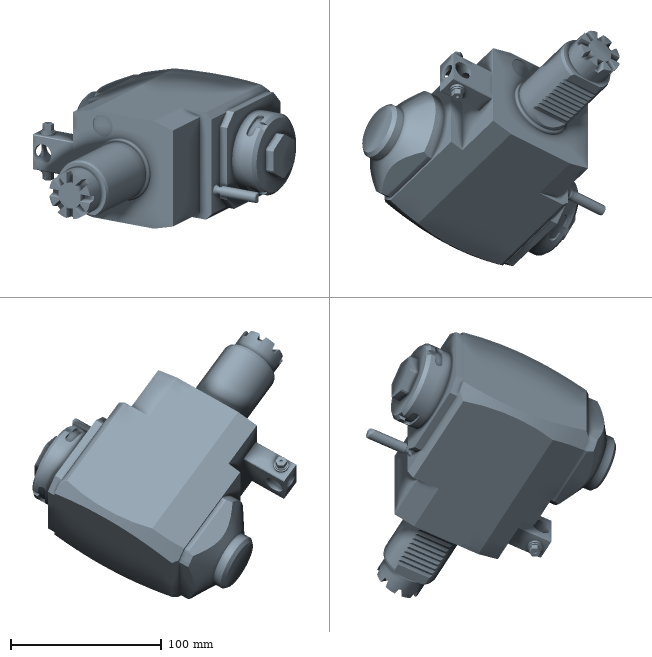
import cadquery as cq
import math


clearance = 1.8

block_depth = 114.0
half_height = 37.5
lower_half_width = 39.0
ridge_x = 24.2
side_slope = math.tan(math.radians(15))
shoulder_y = 34.8
upper_left = -48.2
upper_right = 47.7
right_chamfer = 4.4
left_chamfer = 3.3
crown_radius = 132.9
crown_x = 9.5
crown_back = 110.0
plug_x, plug_z, plug_radius, plug_recess = -15.8, 27.7, 7.6, 0.7

spindle_y = 79.9
cap_radius = 37.3
cap_cone_x = -55.5
cap_neck_x = -68.2
cap_half_height = 29.3
cap_slope_x = -51.5
cap_back = 30.2
cap_chamfer = 7.0
cap_end = -76.5
cap_boss_radius = 19.3
cap_boss_chamfer = 2.4

flange_side, flange_chamfer, flange_end = 67.7, 8.7, 53.1
nut_radius, nut_chamfer, nut_end = 27.7, 2.4, 70.8
nut_slot_count, nut_first_slot, nut_slot_sweep = 3, 30.0, 30.0
nut_slot_x, nut_slot_width, nut_slot_depth = 62.5, 5.6, 2.2
nut_key_width = 5.3
hex_flats, hex_corner_radius, hex_end = 27.0, 15.1, 76.8

pin_y, pin_z, pin_radius = 40.5, -17.7, 3.6
pin_foot_length, pin_neck_radius, pin_neck_end = 2.2, 2.5, 52.5
pin_end, pin_edge, pin_bevel = 80.5, 0.5, 3.0

collar_radius, collar_length, collar_round = 21.5, 2.2, 1.6
shank_radius, shank_end = 19.8, 52.8
shank_lead, shank_lead_length = 0.7, 2.2
shank_groove_radius, shank_groove_end = 19.3, 3.6
rack_depth = 15.0
rack_start = 9.8
tooth_count, tooth_pitch, tooth_height = 9, 4.0, 1.1
neck_radius, neck_end = 12.7, 54.0
collet_radius, collet_end = 16.0, 68.0
collet_hub_radius = 8.7
slot_count, slot_depth, slot_floor, slot_mouth = 8, 4.7, 3.1, 5.1

bracket_end, bracket_front, bracket_back, bracket_half_height = -70.8, 0.7, 16.2, 12.2
bracket_edge = 0.5
bore_x, bore_y, bore_radius = -63.0, 7.5, 6.5
side_bore_radius, side_bore_depth = 4.7, 23.7
side_socket, side_socket_depth = 2.5, 1.8
washer_radius, washer_height = 5.0, 1.6
seat_radius, seat_height = 4.2, 1.1
screw_flats, screw_top = 6.5, 19.3
screw_socket, screw_socket_depth = 2.2, 1.5


def box(x0, x1, y0, y1, z0, z1):
    return cq.Workplane("XY").box(x1 - x0, y1 - y0, z1 - z0, centered=False).translate((x0, y0, z0))


def turned_x(points, y, z):
    """Revolve (x, radius) points about the line parallel to X through (y, z)."""
    return (
        cq.Workplane("XY").polyline(points).close()
        .revolve(360, (0, 0, 0), (1, 0, 0)).translate((0, y, z))
    )


def turned_shank(points):
    """Revolve (distance in front of the block, radius) points about the Y axis."""
    outline = [(radius, -distance) for distance, radius in points]
    return cq.Workplane("XY").polyline(outline).close().revolve(360, (0, 0, 0), (0, 1, 0))


def rod_x(x0, x1, radius):
    return cq.Workplane("YZ", origin=(x0, spindle_y, 0)).circle(radius).extrude(x1 - x0)


def sloped_height(x):
    """Half height of the block at a given X on its sloped sides."""
    return half_height - (abs(x) - ridge_x) * side_slope


def mirrored_profile(upper, y0, y1):
    """Extrude along Y a section in XZ that is symmetric about Z = 0."""
    lower = [(x, -z) for x, z in reversed(upper)]
    return (
        cq.Workplane("XZ", origin=(0, y1, 0)).polyline(upper + lower).close().extrude(y1 - y0)
    )


def make_block():
    lower = mirrored_profile(
        [
            (-lower_half_width, sloped_height(lower_half_width)),
            (-ridge_x, half_height),
            (ridge_x, half_height),
            (lower_half_width, sloped_height(lower_half_width)),
        ],
        0, shoulder_y,
    )
    upper = mirrored_profile(
        [
            (upper_left, sloped_height(upper_left)),
            (-ridge_x, half_height),
            (upper_right - right_chamfer, half_height),
            (upper_right, half_height - right_chamfer),
        ],
        shoulder_y, block_depth,
    )
    upper = upper.faces("<X").edges(">Y").chamfer(left_chamfer)
    crown_mid = crown_radius + half_height
    crown = (
        cq.Workplane("XZ")
        .polyline([(0, -half_height), (crown_radius, -half_height), (crown_mid, 0),
                   (crown_radius, half_height), (0, half_height)])
        .close().revolve(360, (0, 0, 0), (0, 1, 0))
        .translate((crown_x, crown_back - crown_radius, 0))
    )
    plug = (
        cq.Workplane("XZ").center(plug_x, plug_z).circle(plug_radius).extrude(-plug_recess)
    )
    return lower.union(upper.intersect(crown)).cut(plug)


def make_cap():
    turned = turned_x(
        [(upper_left, 0), (upper_left, cap_radius), (cap_cone_x, cap_radius),
         (cap_neck_x, cap_boss_radius), (cap_end + cap_boss_chamfer, cap_boss_radius),
         (cap_end, cap_boss_radius - cap_boss_chamfer), (cap_end, 0)],
        spindle_y, 0,
    )
    end_height = cap_half_height - (cap_slope_x - cap_end) * side_slope
    flats = mirrored_profile(
        [(cap_end, end_height), (cap_slope_x, cap_half_height), (upper_left, cap_half_height)],
        spindle_y - cap_radius, spindle_y + cap_back,
    )
    corners = (
        box(cap_end, upper_left, spindle_y - cap_radius, spindle_y + cap_back,
            -cap_half_height, cap_half_height)
        .faces(">Y").edges("|X").chamfer(cap_chamfer)
    )
    return turned.intersect(flats).intersect(corners)


def make_flange():
    return (
        cq.Workplane("YZ", origin=(upper_right, spindle_y, 0)).rect(flange_side, flange_side)
        .extrude(flange_end - upper_right).edges("|X").chamfer(flange_chamfer)
    )


def make_nut_slot():
    """Curved wrench slot centred on +Z of the nut, with a key slot out to its end face."""
    half_sweep = math.radians(nut_slot_sweep) / 2
    floor_radius = nut_radius - nut_slot_depth
    reach = nut_radius + clearance
    x0 = nut_slot_x - nut_slot_width / 2
    ring = rod_x(x0, x0 + nut_slot_width, reach)
    ring = ring.cut(rod_x(x0, x0 + nut_slot_width, floor_radius))
    half_span = reach * math.tan(half_sweep)
    wedge = (
        cq.Workplane("YZ", origin=(x0, spindle_y, 0))
        .polyline([(0, 0), (half_span, reach), (-half_span, reach)]).close().extrude(nut_slot_width)
    )
    slot = ring.intersect(wedge)
    for angle in (-nut_slot_sweep / 2, nut_slot_sweep / 2):
        slot_end = (
            cq.Workplane("XY", origin=(nut_slot_x, spindle_y, floor_radius))
            .circle(nut_slot_width / 2).extrude(reach - floor_radius)
        )
        slot = slot.union(turn_about_spindle(slot_end, angle))
    key = box(nut_slot_x, nut_end, spindle_y - nut_key_width / 2, spindle_y + nut_key_width / 2,
              floor_radius, reach)
    return slot.union(key)


def turn_about_spindle(body, angle):
    """Turn a body about the spindle axis; positive angles lead from +Z towards -Y."""
    return body.rotate((0, spindle_y, 0), (1, spindle_y, 0), angle)


def make_spindle_nut():
    nut = rod_x(flange_end, nut_end, nut_radius).faces(">X").chamfer(nut_chamfer)
    for index in range(nut_slot_count):
        angle = nut_first_slot + index * 360 / nut_slot_count
        nut = nut.cut(turn_about_spindle(make_nut_slot(), angle))
    hexagon = (
        cq.Workplane("YZ", origin=(nut_end, spindle_y, 0))
        .polygon(6, hex_flats, circumscribed=True).extrude(hex_end - nut_end)
    )
    return nut.union(hexagon.intersect(rod_x(nut_end, hex_end, hex_corner_radius)))


def make_pin():
    foot_end = upper_right + pin_foot_length
    pin = turned_x(
        [(upper_right, 0), (upper_right, pin_radius), (foot_end, pin_neck_radius),
         (pin_neck_end, pin_neck_radius), (pin_neck_end + pin_edge, pin_radius),
         (pin_end - pin_edge, pin_radius), (pin_end, pin_radius - pin_edge), (pin_end, 0)],
        pin_y, pin_z,
    )
    bevel = (
        cq.Workplane("XY", origin=(pin_end, pin_y + pin_radius, pin_z - pin_radius))
        .polyline([(0, 0), (-pin_bevel, 0), (0, -pin_bevel)]).close().extrude(2 * pin_radius)
    )
    return pin.cut(bevel)


def make_shank():
    shank = turned_shank(
        [(0, 0), (0, shank_groove_radius), (shank_groove_end, shank_groove_radius),
         (shank_groove_end, shank_radius), (shank_end - shank_lead_length, shank_radius),
         (shank_end, shank_radius - shank_lead), (shank_end, neck_radius),
         (neck_end, neck_radius), (neck_end, collet_radius), (collet_end, collet_radius),
         (collet_end, 0)]
    )
    collar = (
        cq.Workplane("XZ").circle(collar_radius).extrude(collar_length)
        .faces("<Y").edges().fillet(collar_round)
    )
    shank = shank.union(collar)
    ramp = shank_radius - rack_depth
    outline = [
        (-shank_end, -shank_radius),
        (-rack_start + ramp, -shank_radius),
        (-rack_start, -rack_depth),
    ]
    for index in range(tooth_count):
        root = -rack_start - (index + 0.5) * tooth_pitch
        outline += [
            (root, -rack_depth),
            (root - tooth_pitch / 2, -rack_depth - tooth_height),
        ]
    outline += [(-shank_end, -rack_depth - tooth_height)]
    rack = (
        cq.Workplane("YZ", origin=(-shank_radius, 0, 0)).polyline(outline).close()
        .extrude(2 * shank_radius)
    )
    return shank.cut(rack)


def make_collet_slots():
    """Tapered radial slots across the end of the collet nut, outside its hub."""
    slot = (
        cq.Workplane("YZ")
        .polyline([(-collet_end, -slot_mouth / 2), (-collet_end, slot_mouth / 2),
                   (-collet_end + slot_depth, slot_floor / 2),
                   (-collet_end + slot_depth, -slot_floor / 2)])
        .close().extrude(collet_radius + clearance)
    )
    hub = turned_shank([(0, 0), (0, collet_hub_radius), (collet_end, collet_hub_radius), (collet_end, 0)])
    slots = slot
    for index in range(1, slot_count):
        slots = slots.union(slot.rotate((0, 0, 0), (0, 1, 0), index * 360 / slot_count))
    return slots.cut(hub)


def make_screw():
    seat_z = bracket_half_height + washer_height
    head_z = seat_z + seat_height
    screw = cq.Workplane("XY", origin=(bore_x, bore_y, bracket_half_height))
    screw = screw.circle(washer_radius).extrude(washer_height)
    seat = cq.Workplane("XY", origin=(bore_x, bore_y, seat_z)).circle(seat_radius).extrude(seat_height)
    head = (
        cq.Workplane("XY", origin=(bore_x, bore_y, head_z))
        .polygon(6, screw_flats, circumscribed=True).extrude(screw_top - head_z)
        .faces(">Z").workplane().polygon(6, screw_socket).cutBlind(-screw_socket_depth)
    )
    return screw.union(seat).union(head)


def make_bracket():
    bracket = box(bracket_end, -lower_half_width, bracket_front, bracket_back,
                  -bracket_half_height, bracket_half_height)
    bracket = bracket.edges("|X").chamfer(bracket_edge)
    bore = (
        cq.Workplane("XZ", origin=(bore_x, 0, 0)).circle(bore_radius).extrude(-bracket_back)
    )
    side_bore = (
        cq.Workplane("YZ", origin=(bracket_end, bore_y, 0)).circle(side_bore_radius)
        .extrude(side_bore_depth)
        .faces(">X").workplane().polygon(6, side_socket).extrude(side_socket_depth)
    )
    screw = make_screw()
    return bracket.cut(bore).cut(side_bore).union(screw).union(screw.mirror("XY"))


result = make_block()
for body in (make_cap(), make_flange(), make_spindle_nut(), make_pin(), make_shank(), make_bracket()):
    result = result.union(body)
result = result.cut(make_collet_slots())